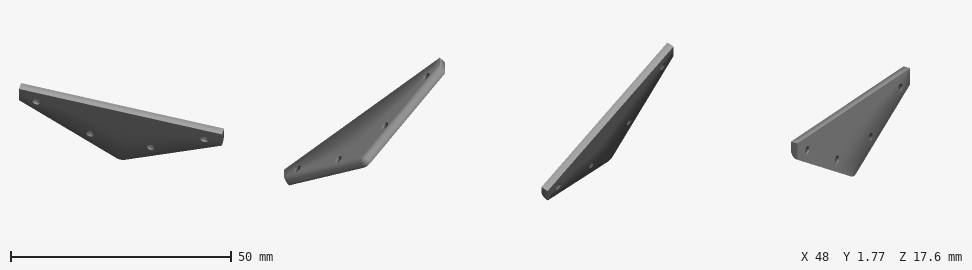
import cadquery as cq
import math

length = 47.95
height = 17.65
thickness = 1.77
edge_angle = math.radians(30)
tip_radius = 2.0
back_round_radius = 1.75
hole_diameter = 1.85
outer_hole_x = 19.85
outer_hole_depth = 3.3
inner_hole_x = 7.15

tip_loss = tip_radius * (1 / math.cos(edge_angle) - 1)
sharp_height = height + tip_loss
half_length = length / 2
end_height = sharp_height - half_length * math.tan(edge_angle)

inner_hole_depth = outer_hole_depth + (outer_hole_x - inner_hole_x) * math.tan(edge_angle)


def make_plate():
    """Triangular plate with short upright ends and a rounded lower tip."""
    plate = (
        cq.Workplane("XZ")
        .moveTo(-half_length, 0)
        .lineTo(half_length, 0)
        .lineTo(half_length, -end_height)
        .lineTo(0, -sharp_height)
        .lineTo(-half_length, -end_height)
        .close()
        .extrude(thickness)
    )
    return plate.edges("|Y").edges("<Z").fillet(tip_radius)


def round_back_edge(plate):
    """Round the back edge along both slopes and around the tip."""
    lower_back_edges = plate.faces(">Y").edges("not(|X or |Z)")
    return lower_back_edges.fillet(back_round_radius)


def drill_holes(plate):
    """Cut two mirrored pairs of holes right through the plate."""
    hole_centers = [
        (side * x, -depth)
        for side in (-1, 1)
        for x, depth in ((outer_hole_x, outer_hole_depth), (inner_hole_x, inner_hole_depth))
    ]
    holes = (
        cq.Workplane("XZ")
        .pushPoints(hole_centers)
        .circle(hole_diameter / 2)
        .extrude(thickness)
    )
    return plate.cut(holes)


result = drill_holes(round_back_edge(make_plate()))